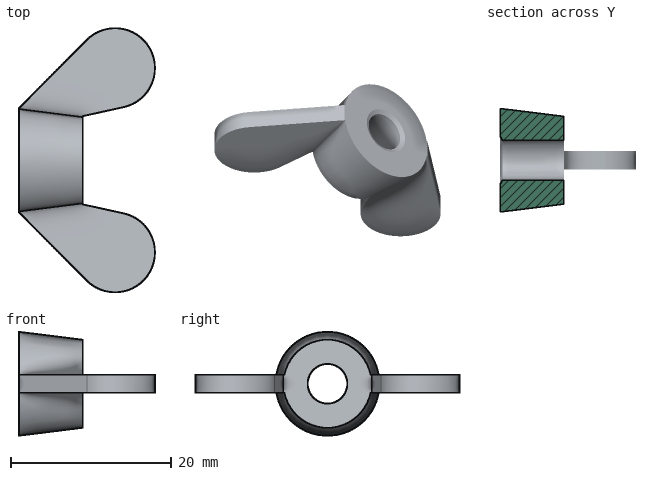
import cadquery as cq
import math

hub_length = 8.0
hub_base_radius = 6.5
hub_tip_radius = 5.5

bore_radius = 4.92 / 2
countersink_radius = 3.0
countersink_angle = 120.0
countersink_depth = (countersink_radius - bore_radius) / math.tan(math.radians(countersink_angle / 2))

overall_length = 17.0
overall_span = 33.0
wing_thickness = 2.3
wing_end_radius = 5.0
wing_center_x = overall_length - wing_end_radius
wing_center_y = overall_span / 2 - wing_end_radius


def tangent_point(start, side):
    """Point where a line from start touches the wing's round end.

    Side +1 gives the outer (leading) edge, -1 the inner (trailing) edge.
    """
    dx = start[0] - wing_center_x
    dy = start[1] - wing_center_y
    half_angle = math.acos(wing_end_radius / math.hypot(dx, dy))
    angle = math.atan2(dy, dx) - side * half_angle
    return (
        wing_center_x + wing_end_radius * math.cos(angle),
        wing_center_y + wing_end_radius * math.sin(angle),
    )


def make_hub():
    """Cone frustum revolved about the X axis."""
    return (
        cq.Workplane("XY")
        .moveTo(0, 0)
        .lineTo(0, hub_base_radius)
        .lineTo(hub_length, hub_tip_radius)
        .lineTo(hub_length, 0)
        .close()
        .revolve(360, (0, 0, 0), (1, 0, 0))
    )


def make_bore():
    """Cutter for the through bore and its countersink."""
    return (
        cq.Workplane("XY")
        .moveTo(0, 0)
        .lineTo(0, countersink_radius)
        .lineTo(countersink_depth, bore_radius)
        .lineTo(hub_length, bore_radius)
        .lineTo(hub_length, 0)
        .close()
        .revolve(360, (0, 0, 0), (1, 0, 0))
    )


def make_wing():
    """Wing on the +Y side, its root running inside the hub wall."""
    base_corner = (0, hub_base_radius)
    tip_corner = (hub_length, hub_tip_radius)
    wall_middle = (bore_radius + hub_tip_radius) / 2
    far_point = (overall_length, wing_center_y)
    return (
        cq.Workplane("XY")
        .moveTo(0, wall_middle)
        .lineTo(*base_corner)
        .lineTo(*tangent_point(base_corner, 1))
        .threePointArc(far_point, tangent_point(tip_corner, -1))
        .lineTo(*tip_corner)
        .lineTo(hub_length, wall_middle)
        .close()
        .extrude(wing_thickness / 2, both=True)
    )


wing = make_wing()
result = make_hub().union(wing).union(wing.mirror("XZ")).cut(make_bore())